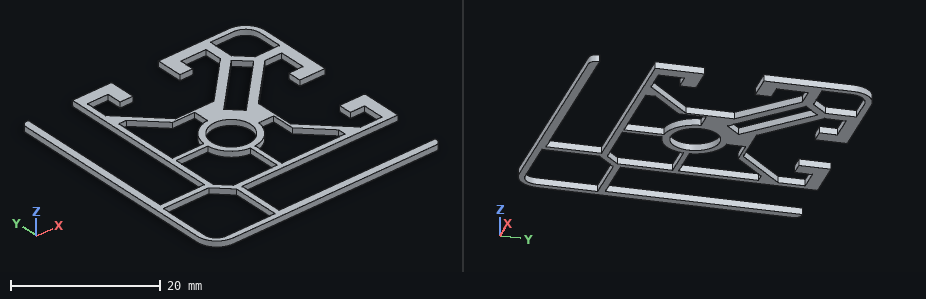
import cadquery as cq
import math


SIDE = 40.0
THICKNESS = 1.0
HALF = SIDE / 2
CORNER_RADIUS = 3.5
FIN_TIP_RADIUS = 1.0

WALL = 1.0
FIN_WALL = 1.3
RIB_HALF = 0.42
FRAME_OUTER = 11.0
FRAME_INNER = FRAME_OUTER - WALL
CHANNEL_END = -7.4

HUB_RADIUS = 4.5
BORE_RADIUS = 3.4

MOUTH_HALF = 4.1
LIP_WIDTH = 2.3
LIP_DEPTH = 4.5
LIP_THICKNESS = 2.0
SLOT_FLOOR = 7.6
SLOT_FAR_SIDE = 10.8
SLOT_FLANK_HALF = 3.0

SIDE_CELL_TOP = 11.5
FLOOR_WALL = 0.5
FLANK_WALL = 1.0

HUB_CELL_CHAMFER = 12.8
FIN_CELL_CHAMFER = 13.75
CLOSED_CELL_CHAMFER = 19.2

FIN_CELL_EDGE = CHANNEL_END - WALL
FIN_CELL_RADIUS = 2.0
CLOSED_CELL_EDGE = 12.45
CLOSED_CELL_RADIUS = CORNER_RADIUS - WALL

DIAGONAL_ANGLE = 45.0
DIAGONAL_SLOT_WIDTH = 3.0
DIAGONAL_SLOT_START = 5.85
DIAGONAL_SLOT_END = 18.0


def axis_sum(distance):
    """Return |x| + |y| on a 45-degree line at the given distance from the hub axis."""
    return distance * math.sqrt(2)


def prism(points):
    return cq.Workplane("XY").polyline(points).close().extrude(THICKNESS)


def disc(radius):
    return cq.Workplane("XY").circle(radius).extrude(THICKNESS)


def round_edge(body, x, y, radius):
    """Fillet the vertical edge at (x, y)."""
    edge = cq.selectors.NearestToPointSelector((x, y, THICKNESS / 2))
    return body.edges("|Z").edges(edge).fillet(radius)


def cut_both_sides(body, points):
    """Cut a prism and its reflection about y = x."""
    swapped = [(y, x) for x, y in points]
    return body.cut(prism(points)).cut(prism(swapped))


def make_plate():
    plate = cq.Workplane("XY").rect(SIDE, SIDE).extrude(THICKNESS)
    plate = round_edge(plate, -HALF, -HALF, CORNER_RADIUS)
    plate = round_edge(plate, HALF, HALF, CORNER_RADIUS)
    plate = round_edge(plate, -HALF, HALF, FIN_TIP_RADIUS)
    plate = round_edge(plate, HALF, -HALF, FIN_TIP_RADIUS)
    return plate


def channel_points():
    fin_face = -HALF + FIN_WALL
    return [
        (fin_face, HALF),
        (fin_face, CHANNEL_END),
        (-FRAME_OUTER, CHANNEL_END),
        (-FRAME_OUTER, HALF),
    ]


def t_slot_points():
    flank = axis_sum(SLOT_FLANK_HALF)
    lip_bottom = HALF - LIP_DEPTH
    ceiling = HALF - LIP_THICKNESS
    lip_back = MOUTH_HALF + LIP_WIDTH
    return [
        (-MOUTH_HALF, HALF),
        (-MOUTH_HALF, lip_bottom),
        (-lip_back, lip_bottom),
        (-lip_back, ceiling),
        (-FRAME_INNER, ceiling),
        (-FRAME_INNER, FRAME_INNER + flank),
        (flank - SLOT_FLOOR, SLOT_FLOOR),
        (SLOT_FLOOR - flank, SLOT_FLOOR),
        (SLOT_FAR_SIDE, SLOT_FAR_SIDE + flank),
        (SLOT_FAR_SIDE, ceiling),
        (lip_back, ceiling),
        (lip_back, lip_bottom),
        (MOUTH_HALF, lip_bottom),
        (MOUTH_HALF, HALF),
    ]


def side_cell_points():
    flank = axis_sum(SLOT_FLANK_HALF - FLANK_WALL)
    cell_floor = SLOT_FLOOR - FLOOR_WALL
    return [
        (-FRAME_INNER, RIB_HALF),
        (-FRAME_INNER, SIDE_CELL_TOP),
        (flank - SIDE_CELL_TOP, SIDE_CELL_TOP),
        (flank - cell_floor, cell_floor),
        (-RIB_HALF, cell_floor),
        (-RIB_HALF, RIB_HALF),
    ]


def hub_cell():
    chamfer_end = FRAME_INNER - axis_sum(HUB_CELL_CHAMFER)
    return prism([
        (-RIB_HALF, -RIB_HALF),
        (-FRAME_INNER, -RIB_HALF),
        (-FRAME_INNER, chamfer_end),
        (chamfer_end, -FRAME_INNER),
        (-RIB_HALF, -FRAME_INNER),
    ])


def corner_cell(outer, edge, chamfer_sum, radius):
    """Corner cell with a rounded outer corner and a chamfered inner corner."""
    chamfer_end = chamfer_sum - edge
    cell = prism([
        (outer, outer),
        (outer, edge),
        (chamfer_end, edge),
        (edge, chamfer_end),
        (edge, outer),
    ])
    return round_edge(cell, outer, outer, radius)


def fin_corner_cell():
    chamfer_sum = -axis_sum(FIN_CELL_CHAMFER)
    return corner_cell(-HALF + WALL, FIN_CELL_EDGE, chamfer_sum, FIN_CELL_RADIUS)


def closed_corner_cell():
    chamfer_sum = axis_sum(CLOSED_CELL_CHAMFER)
    return corner_cell(HALF - WALL, CLOSED_CELL_EDGE, chamfer_sum, CLOSED_CELL_RADIUS)


def diagonal_slot():
    length = DIAGONAL_SLOT_END - DIAGONAL_SLOT_START
    middle = (DIAGONAL_SLOT_START + DIAGONAL_SLOT_END) / 2
    slot = cq.Workplane("XY").center(middle, 0).rect(length, DIAGONAL_SLOT_WIDTH).extrude(THICKNESS)
    return slot.rotate((0, 0, 0), (0, 0, 1), DIAGONAL_ANGLE)


def make_profile():
    body = make_plate()
    for points in (channel_points(), t_slot_points(), side_cell_points()):
        body = cut_both_sides(body, points)
    body = body.cut(hub_cell())
    body = body.cut(fin_corner_cell())
    body = body.cut(closed_corner_cell())
    body = body.union(disc(HUB_RADIUS)).cut(disc(BORE_RADIUS))
    return body.cut(diagonal_slot())


result = make_profile()